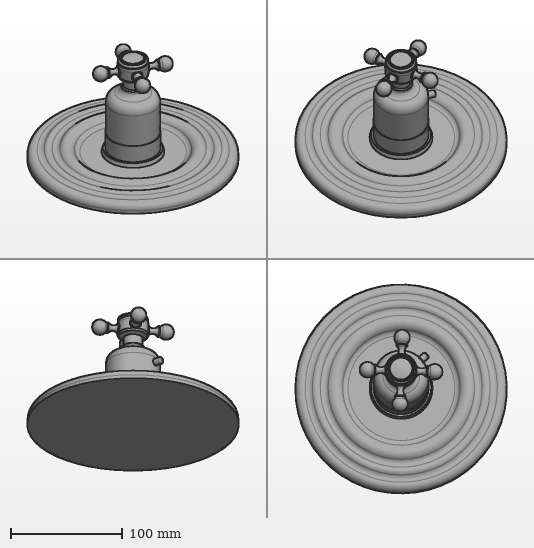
import cadquery as cq
import math


PLATE_RADIUS = 95.2
RIM_HEIGHT = 3.6
FLOOR_RADIUS = 48.0
FLOOR_Z = 7.6
RIPPLE_POINTS = [(86.5, 9.7), (80.0, 10.9), (73.0, 11.0), (66.0, 11.6), (52.8, 10.3)]

FOOT_RADIUS = 28.4
FOOT_TOP_RADIUS = 27.0
FOOT_TOP_Z = 11.6

BASE_RADIUS = 25.0
BASE_TOP_Z = 28.4
BODY_RADIUS = 24.5
SHOULDER_Z = 60.4
NECK_JOIN_RADIUS = 16.5
NECK_JOIN_Z = 70.1
LIP_RADIUS = 10.7
LIP_Z = 75.2
BODY_TOP_Z = 76.5
BODY_TOP_RADIUS = 10.3

PIN_RADIUS = 3.2
PIN_TIP_Y = 31.8
PIN_Z = 55.5
PIN_ROUND = 1.3

SPINDLE_RADIUS = 4.5
STEM_RADIUS = 8.8
STEM_BOTTOM_Z = 77.7

HUB_BOTTOM_Z = 86.1
HUB_CONE_RADIUS = 13.0
HUB_CONE_Z = 87.8
HUB_RADIUS = 14.1
HUB_BARREL_BOTTOM_Z = 89.7
HUB_BARREL_TOP_Z = 100.0

CAP_RADIUS = 13.7
CAP_BOTTOM_Z = 102.5
CAP_GROOVE_HEIGHT = 0.4
CAP_GROOVE_DEPTH = 0.4
CAP_EDGE_Z = 104.4
CAP_SHOULDER_RADIUS = 11.8
CAP_SHOULDER_Z = 105.5
DISC_GROOVE_RADIUS = 10.9
DISC_RADIUS = 10.1
DISC_GROOVE_DEPTH = 1.1
DISC_EDGE_Z = 106.5
TOP_Z = 107.8

ARM_COUNT = 4
FIRST_ARM_ANGLE = 45
ARM_Z = 94.9
ROOT_RING_END = 14.3
ROOT_RING_BEVEL = 0.4
ARM_ROOT_RADIUS = 4.2
ARM_WAIST_RADIUS = 2.7
ARM_WAIST = 18.1
ARM_FLARE_RADIUS = 4.4
COLLAR_START = 22.3
COLLAR_END = 24.2
COLLAR_RADIUS = 5.1
BALL_RADIUS = 7.0
BALL_CENTRE = 30.3
BALL_JOIN = 26.3


def turned(profile):
    """Close a half profile drawn in the XZ plane and revolve it about Z."""
    return profile.close().revolve(360, (0, 0, 0), (0, 1, 0))


def make_plate():
    profile = (
        cq.Workplane("XZ")
        .lineTo(PLATE_RADIUS, 0)
        .lineTo(PLATE_RADIUS, RIM_HEIGHT)
    )
    for radius, z in RIPPLE_POINTS:
        profile = profile.tangentArcPoint((radius, z), relative=False)
    profile = profile.tangentArcPoint((FLOOR_RADIUS, FLOOR_Z), relative=False)
    return turned(profile.lineTo(0, FLOOR_Z))


def make_body():
    profile = (
        cq.Workplane("XZ")
        .lineTo(FOOT_RADIUS, 0)
        .lineTo(FOOT_RADIUS, FLOOR_Z)
        .lineTo(FOOT_TOP_RADIUS, FOOT_TOP_Z)
        .lineTo(BASE_RADIUS, FOOT_TOP_Z)
        .lineTo(BASE_RADIUS, BASE_TOP_Z)
        .lineTo(BODY_RADIUS, BASE_TOP_Z)
        .lineTo(BODY_RADIUS, SHOULDER_Z)
        .tangentArcPoint((NECK_JOIN_RADIUS, NECK_JOIN_Z), relative=False)
        .tangentArcPoint((LIP_RADIUS, LIP_Z), relative=False)
        .lineTo(BODY_TOP_RADIUS, BODY_TOP_Z)
        .lineTo(0, BODY_TOP_Z)
    )
    return turned(profile)


def make_stop_pin():
    pin = cq.Workplane("XZ", origin=(0, 0, PIN_Z)).circle(PIN_RADIUS).extrude(-PIN_TIP_Y)
    return pin.faces(">Y").edges().fillet(PIN_ROUND)


def make_hub():
    """Spindle, stem, hub and cap; the spindle is rooted inside the body."""
    groove_floor_z = DISC_EDGE_Z - DISC_GROOVE_DEPTH
    cap_groove_radius = CAP_RADIUS - CAP_GROOVE_DEPTH
    cap_groove_top_z = CAP_BOTTOM_Z + CAP_GROOVE_HEIGHT
    rise = TOP_Z - DISC_EDGE_Z
    dome_radius = (DISC_RADIUS ** 2 + rise ** 2) / (2 * rise)
    mid_radius = DISC_RADIUS / 2
    mid_z = TOP_Z - dome_radius + math.sqrt(dome_radius ** 2 - mid_radius ** 2)
    profile = (
        cq.Workplane("XZ")
        .moveTo(0, SHOULDER_Z)
        .lineTo(SPINDLE_RADIUS, SHOULDER_Z)
        .lineTo(SPINDLE_RADIUS, STEM_BOTTOM_Z)
        .lineTo(STEM_RADIUS, STEM_BOTTOM_Z)
        .lineTo(STEM_RADIUS, HUB_BOTTOM_Z)
        .lineTo(HUB_CONE_RADIUS, HUB_CONE_Z)
        .lineTo(HUB_RADIUS, HUB_BARREL_BOTTOM_Z)
        .lineTo(HUB_RADIUS, HUB_BARREL_TOP_Z)
        .lineTo(CAP_RADIUS, CAP_BOTTOM_Z)
        .lineTo(cap_groove_radius, CAP_BOTTOM_Z)
        .lineTo(cap_groove_radius, cap_groove_top_z)
        .lineTo(CAP_RADIUS, cap_groove_top_z)
        .lineTo(CAP_RADIUS, CAP_EDGE_Z)
        .tangentArcPoint((CAP_SHOULDER_RADIUS, CAP_SHOULDER_Z), relative=False)
        .lineTo(DISC_GROOVE_RADIUS, CAP_SHOULDER_Z)
        .lineTo(DISC_GROOVE_RADIUS, groove_floor_z)
        .lineTo(DISC_RADIUS, groove_floor_z)
        .lineTo(DISC_RADIUS, DISC_EDGE_Z)
        .threePointArc((mid_radius, mid_z), (0, TOP_Z))
    )
    return turned(profile)


def make_arm():
    """One arm along +X with its root ring, flared waist, ridged collar and ball."""
    join_offset = BALL_CENTRE - BALL_JOIN
    join_radius = math.sqrt(BALL_RADIUS ** 2 - join_offset ** 2)
    collar_middle = (COLLAR_START + COLLAR_END) / 2
    profile = (
        cq.Workplane("XY")
        .lineTo(0, COLLAR_RADIUS)
        .lineTo(ROOT_RING_END - ROOT_RING_BEVEL, COLLAR_RADIUS)
        .lineTo(ROOT_RING_END, ARM_ROOT_RADIUS)
        .threePointArc((ARM_WAIST, ARM_WAIST_RADIUS), (COLLAR_START, ARM_FLARE_RADIUS))
        .lineTo(collar_middle, COLLAR_RADIUS)
        .lineTo(COLLAR_END, ARM_FLARE_RADIUS)
        .lineTo(BALL_JOIN, join_radius)
        .threePointArc((BALL_CENTRE, BALL_RADIUS), (BALL_CENTRE + BALL_RADIUS, 0))
        .close()
    )
    return profile.revolve(360, (0, 0, 0), (1, 0, 0)).translate((0, 0, ARM_Z))


def make_handle():
    """Hub with its even ring of arms."""
    handle = make_hub()
    arm = make_arm()
    for index in range(ARM_COUNT):
        angle = FIRST_ARM_ANGLE + index * 360 / ARM_COUNT
        handle = handle.union(arm.rotate((0, 0, 0), (0, 0, 1), angle))
    return handle


result = make_plate().union(make_body()).union(make_stop_pin()).union(make_handle())